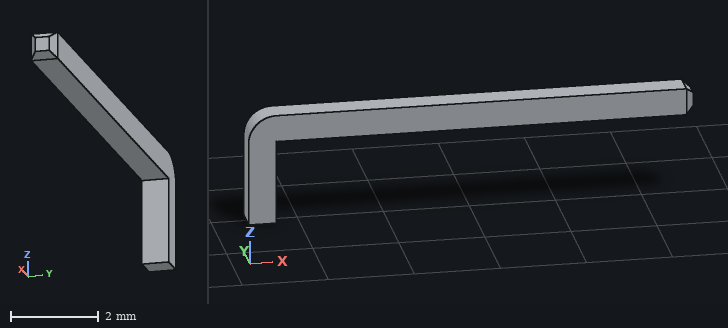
import cadquery as cq

length = 10.36
height = 2.64
wire = 0.64
tip_length = 0.19
tip_inset = 0.16
bend_radius = wire

arm_end = length - tip_length
inner_corner_z = height - wire


def bent_bar():
    """L-shaped bar with a rounded outer corner, centred on the XZ plane."""
    profile = (
        cq.Workplane("XZ")
        .moveTo(0, 0)
        .lineTo(wire, 0)
        .lineTo(wire, inner_corner_z)
        .lineTo(arm_end, inner_corner_z)
        .lineTo(arm_end, height)
        .lineTo(bend_radius, height)
        .radiusArc((0, height - bend_radius), -bend_radius)
        .close()
    )
    return profile.extrude(wire / 2, both=True)


def tapered_tip():
    """Square frustum that narrows the free end of the arm."""
    tip_width = wire - 2 * tip_inset
    return (
        cq.Workplane("YZ", origin=(arm_end, 0, height - wire / 2))
        .rect(wire, wire)
        .workplane(offset=tip_length)
        .rect(tip_width, tip_width)
        .loft(ruled=True)
    )


result = bent_bar().union(tapered_tip())